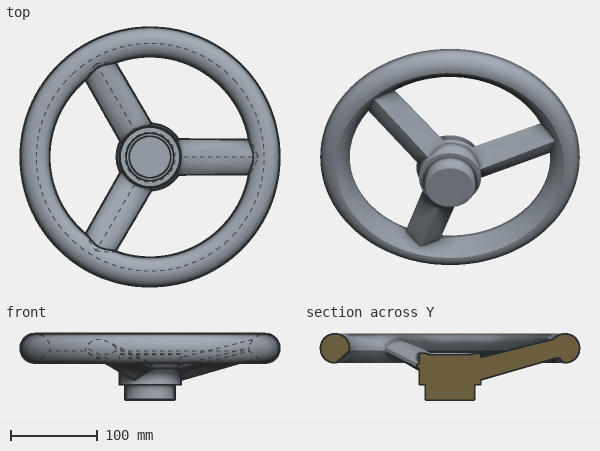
import cadquery as cq
import math

outer_diameter = 300.0
tube_radius = 17.0
rim_radius = outer_diameter / 2 - tube_radius

flat_upper_angle = 9.0
flat_lower_angle = 86.0

overall_height = 77.5
hub_bottom = tube_radius - overall_height
hub_top = -5.7
collar_bottom = -42.3
collar_diameter = 71.7
boss_diameter = 58.0
boss_chamfer = 1.5
collar_top_chamfer = 1.2
recess_diameter = 55.0
recess_step = 1.0
recess_floor_diameter = 48.0
recess_depth = 1.5

bead_diameter = 6.0
bead_height = -20.7

spoke_count = 3
spoke_inner = 18.0
spoke_outer = 129.0
hub_half_width = 21.0
rim_half_width = 20.0
spoke_edge_thickness = 4.2
crown_height = 8.5
edge_slope = 0.25
edge_start = -25.2
bottom_slope = 0.29
bottom_start = -42.0


def ring(major_radius, minor_radius, height):
    """Torus around the Z axis."""
    profile = cq.Workplane("XZ").center(major_radius, height).circle(minor_radius)
    return profile.revolve(360, (-major_radius, 0, 0), (-major_radius, 1, 0))


def cylinder(diameter, bottom, top):
    return cq.Workplane("XY").workplane(offset=bottom).circle(diameter / 2).extrude(top - bottom)


def make_hub():
    collar = cylinder(collar_diameter, collar_bottom, hub_top)
    collar = collar.faces(">Z").chamfer(collar_top_chamfer)
    boss = cylinder(boss_diameter, hub_bottom, collar_bottom)
    boss = boss.faces("<Z").chamfer(boss_chamfer)
    bead = ring(collar_diameter / 2, bead_diameter / 2, bead_height)
    return collar.union(boss).union(bead)


def spoke_section(station, half_width):
    """Closed section across the spoke at a distance from the hub axis."""
    travel = station - spoke_inner
    edge_middle = edge_start + edge_slope * travel
    edge_top = edge_middle + spoke_edge_thickness / 2
    edge_bottom = edge_middle - spoke_edge_thickness / 2
    lowest = bottom_start + bottom_slope * travel
    return (
        cq.Workplane("YZ", origin=(station, 0, 0))
        .moveTo(-half_width, edge_top)
        .threePointArc((0, edge_top + crown_height), (half_width, edge_top))
        .lineTo(half_width, edge_bottom)
        .lineTo(0, lowest)
        .lineTo(-half_width, edge_bottom)
        .close()
        .wire()
        .val()
    )


def tube_point(angle):
    """Radius and height on the tube, by the angle below the inward direction."""
    radius = rim_radius - tube_radius * math.cos(math.radians(angle))
    height = -tube_radius * math.sin(math.radians(angle))
    return radius, height


def make_rim():
    """Round tube closed by the flat on its inner underside."""
    opposite_angle = (flat_upper_angle + flat_lower_angle) / 2 + 180
    profile = (
        cq.Workplane("XZ")
        .moveTo(*tube_point(flat_lower_angle))
        .threePointArc(tube_point(opposite_angle), tube_point(flat_upper_angle))
        .close()
    )
    return profile.revolve(360, (0, 0, 0), (0, 1, 0))


def make_spoke():
    sections = [
        spoke_section(spoke_inner, hub_half_width),
        spoke_section(spoke_outer, rim_half_width),
    ]
    return cq.Workplane(cq.Solid.makeLoft(sections, True))


result = make_hub().union(make_rim())
spoke = make_spoke()
for index in range(spoke_count):
    result = result.union(spoke.rotate((0, 0, 0), (0, 0, 1), index * 360 / spoke_count))

result = result.cut(cylinder(recess_diameter, hub_top - recess_step, hub_top))
result = result.cut(cylinder(recess_floor_diameter, hub_top - recess_depth, hub_top))